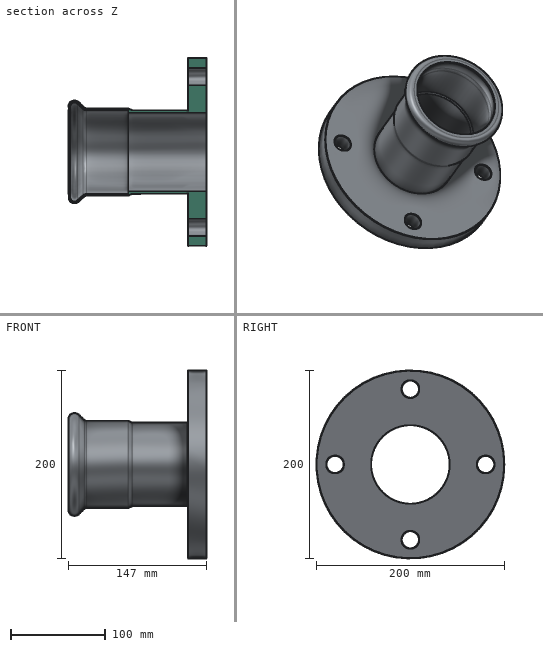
import cadquery as cq
import math

length = 147.0
flange_diameter = 200.0
flange_thickness = 20.0
edge_break = 0.5

bolt_count = 4
bolt_diameter = 18.0
bolt_circle_radius = 80.0

pipe_radius = 44.5
bore_radius = 41.5
sleeve_radius = 93.0 / 2
sleeve_bore_radius = 88.8 / 2
sleeve_wall = sleeve_radius - sleeve_bore_radius
step_start = 63.5
step_end = 67.5
step_round = 1.0

bead_radius = 6.5
bead_outer_radius = 54.8
bead_centre_radius = bead_outer_radius - bead_radius
bead_cone_angle = math.radians(44)
bead_base_round = 3.2

flange_face = length - flange_thickness


def bead_outline(tube_radius, base_radius):
    """Points along the bead: mid-arc, tangent end of the arc, and foot of its cone.

    The arc runs from the mouth side of the bead, over its crest, to the tangent cone.
    """
    middle_angle = bead_cone_angle / 2 - math.pi / 4
    middle = (
        bead_radius + tube_radius * math.sin(middle_angle),
        bead_centre_radius + tube_radius * math.cos(middle_angle),
    )
    tangent = (
        bead_radius + tube_radius * math.sin(bead_cone_angle),
        bead_centre_radius + tube_radius * math.cos(bead_cone_angle),
    )
    cone_length = (tangent[1] - base_radius) / math.tan(bead_cone_angle)
    base = (tangent[0] + cone_length, base_radius)
    return middle, tangent, base


def revolve_about_x(profile):
    return profile.close().revolve(360, (0, 0, 0), (1, 0, 0))


def round_ring(body, x, radius, fillet_radius):
    """Round the circular edge of the given radius at station x."""
    margin = 0.02
    ring = cq.selectors.BoxSelector(
        (x - margin, -radius - margin, -radius - margin),
        (x + margin, radius + margin, radius + margin),
        boundingbox=True,
    )
    return body.edges(ring).fillet(fillet_radius)


def make_outer_body():
    middle, tangent, base = bead_outline(bead_radius, sleeve_radius)
    pipe_end = flange_face - edge_break
    body = revolve_about_x(
        cq.Workplane("XY")
        .moveTo(0, 0)
        .lineTo(0, bead_centre_radius)
        .threePointArc(middle, tangent)
        .lineTo(*base)
        .lineTo(step_start, sleeve_radius)
        .lineTo(step_end, pipe_radius)
        .lineTo(pipe_end, pipe_radius)
        .lineTo(flange_face, pipe_radius - edge_break)
        .lineTo(flange_face, 0)
    )
    body = round_ring(body, base[0], sleeve_radius, bead_base_round)
    body = round_ring(body, step_start, sleeve_radius, step_round)
    return round_ring(body, step_end, pipe_radius, step_round)


def make_cavity():
    """Lip bore, seal groove inside the bead, sleeve bore and pipe bore."""
    groove_radius = bead_radius - sleeve_wall
    middle, tangent, base = bead_outline(groove_radius, sleeve_bore_radius)
    cavity = revolve_about_x(
        cq.Workplane("XY")
        .moveTo(0, 0)
        .lineTo(0, sleeve_bore_radius)
        .lineTo(sleeve_wall, sleeve_bore_radius)
        .lineTo(sleeve_wall, bead_centre_radius)
        .threePointArc(middle, tangent)
        .lineTo(*base)
        .lineTo(step_start, sleeve_bore_radius)
        .lineTo(step_start, bore_radius)
        .lineTo(length, bore_radius)
        .lineTo(length, 0)
    )
    return round_ring(cavity, base[0], sleeve_bore_radius, bead_base_round + sleeve_wall)


def make_flange():
    flange = (
        cq.Workplane("YZ", origin=(flange_face, 0, 0))
        .circle(flange_diameter / 2)
        .extrude(flange_thickness)
    )
    bolt_holes = (
        cq.Workplane("YZ", origin=(flange_face, 0, 0))
        .polarArray(bolt_circle_radius, 0, 360, bolt_count)
        .circle(bolt_diameter / 2)
        .extrude(flange_thickness)
    )
    return flange.cut(bolt_holes).faces("<X or >X").chamfer(edge_break)


result = make_outer_body().union(make_flange()).cut(make_cavity())